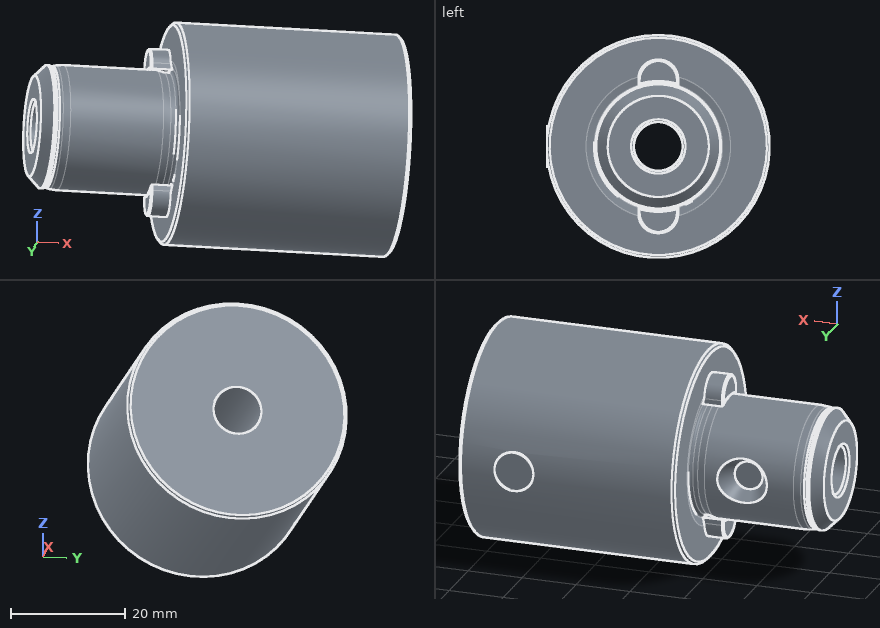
import cadquery as cq
import math


head_radius = 19.5
head_length = 40.0
head_chamfer = 0.5

shank_length = 24.0
shank_radius = 11.0
tip_chamfer = 2.0
guide_radius = 10.85
guide_end = 4.9
bore_radius = 4.25
bore_chamfer = 0.5

groove_start = 2.3
groove_end = 3.6
groove_depth = 0.2
groove_front_slope = 0.3
groove_rear_slope = 0.55

neck_radius = 10.65
neck_taper_start = 2.6
neck_taper_end = 1.25
undercut_fillet = 0.6
undercut_depth = 0.25
undercut_radius = 12.65

seat_x = -9.6
seat_mouth_radius = 4.6
seat_half_angle = 30.0
seat_depth = 3.5
seat_overrun = 1.0

key_width = 7.0
key_projection = 3.5
key_insertion = 4.0
key_centre_z = 11.7
key_inner_radius = 11.2
key_chamfer = 0.25

plug_x = 29.7
plug_radius = 3.6
plug_depth = 8.0


def make_turned_blank():
    """Head and shank revolved about X, with the bore."""
    tip_x = -shank_length
    groove_x0 = tip_x + groove_start
    groove_x1 = tip_x + groove_end
    floor_radius = guide_radius - groove_depth
    fillet_start_x = undercut_depth - undercut_fillet
    fillet_centre_radius = neck_radius + undercut_fillet
    diagonal = undercut_fillet * math.sqrt(0.5)
    fillet_mid = (fillet_start_x + diagonal, fillet_centre_radius - diagonal)
    profile = (
        cq.Workplane("XZ")
        .moveTo(tip_x, bore_radius + bore_chamfer)
        .lineTo(tip_x, guide_radius - tip_chamfer)
        .lineTo(tip_x + tip_chamfer, guide_radius)
        .lineTo(groove_x0, guide_radius)
        .lineTo(groove_x0 + groove_front_slope, floor_radius)
        .lineTo(groove_x1 - groove_rear_slope, floor_radius)
        .lineTo(groove_x1, guide_radius)
        .lineTo(tip_x + guide_end, shank_radius)
        .lineTo(-neck_taper_start, shank_radius)
        .lineTo(-neck_taper_end, neck_radius)
        .lineTo(fillet_start_x, neck_radius)
        .threePointArc(fillet_mid, (undercut_depth, fillet_centre_radius))
        .lineTo(0, undercut_radius)
        .lineTo(0, head_radius - head_chamfer)
        .lineTo(head_chamfer, head_radius)
        .lineTo(head_length - head_chamfer, head_radius)
        .lineTo(head_length, head_radius - head_chamfer)
        .lineTo(head_length, bore_radius)
        .lineTo(tip_x + bore_chamfer, bore_radius)
        .close()
    )
    return profile.revolve(360, (0, 0, 0), (1, 0, 0))


def make_clamping_seat():
    """Cone that tapers inward along -Y, with a flat floor."""
    slope = math.tan(math.radians(seat_half_angle))
    outer_radius = seat_mouth_radius + seat_overrun * slope
    floor_radius = seat_mouth_radius - seat_depth * slope
    cone = cq.Solid.makeCone(
        outer_radius,
        floor_radius,
        seat_overrun + seat_depth,
        cq.Vector(seat_x, shank_radius + seat_overrun, 0),
        cq.Vector(0, -1, 0),
    )
    return cq.Workplane(obj=cone)


def make_key(angle):
    """Drive key with a round outer side and a hollow underside, turned about X."""
    half_width = key_width / 2
    foot_z = math.sqrt(key_inner_radius**2 - half_width**2)
    key = (
        cq.Workplane("YZ", origin=(-key_projection, 0, 0))
        .moveTo(-half_width, foot_z)
        .lineTo(-half_width, key_centre_z)
        .threePointArc((0, key_centre_z + half_width), (half_width, key_centre_z))
        .lineTo(half_width, foot_z)
        .threePointArc((0, key_inner_radius), (-half_width, foot_z))
        .close()
        .extrude(key_projection + key_insertion)
        .faces("<X")
        .chamfer(key_chamfer)
    )
    return key.rotate((0, 0, 0), (1, 0, 0), angle)


def make_plug():
    """Cylinder along Y whose flat top touches the head's outer radius."""
    workplane = cq.Workplane("XZ", origin=(plug_x, head_radius, 0))
    return workplane.circle(plug_radius).extrude(plug_depth)


keys = [make_key(angle) for angle in (0, 180)]
plug = make_plug()

housing = make_turned_blank().cut(make_clamping_seat()).cut(plug)
for key in keys:
    housing = housing.cut(key)

result = cq.Compound.makeCompound([housing.val(), *[key.val() for key in keys], plug.val()])